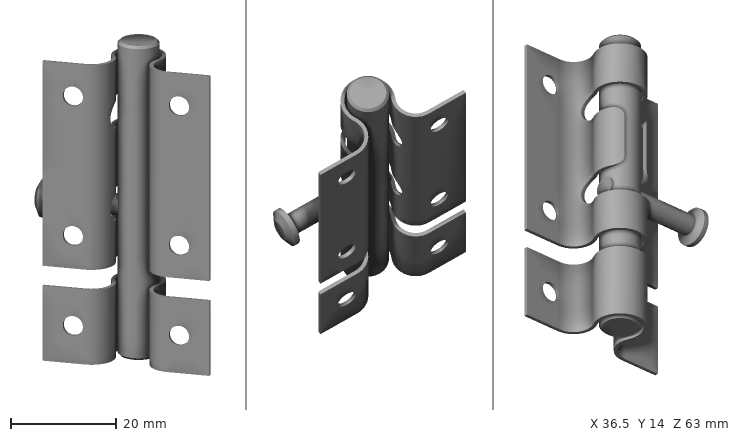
import cadquery as cq
import math

overall_depth = 14.0

sheet = 0.75
tube_inner_radius = 4.5
tube_outer_radius = tube_inner_radius + sheet
tube_y = overall_depth - tube_outer_radius
bend_inner_radius = 3.9
bend_outer_radius = bend_inner_radius + sheet
flange_width = 33.0
bend_x = math.sqrt((tube_outer_radius + bend_inner_radius) ** 2 - (tube_y - bend_outer_radius) ** 2)
bend_angle = math.atan2(tube_y - bend_outer_radius, bend_x)

lower_guide_height = 15.0
guide_gap = 4.05
upper_guide_height = 41.0
upper_guide_z = lower_guide_height + guide_gap
upper_guide_middle = upper_guide_z + upper_guide_height / 2

screw_hole_diameter = 4.0
screw_hole_spacing_x = 21.0
screw_hole_spacing_z = 28.0

slot_width = 5.5
slot_spacing = 18.45
slot_end_depth = 3.15
tongue_corner_radius = 2.0

bolt_diameter = 8.0
bolt_length = 63.0
bolt_chamfer = 0.5

shaft_diameter = 4.2
head_diameter = 7.6
handle_left_x = -20.0
head_front_taper = 0.95
head_rim = 1.1
head_back_taper = 0.75
handle_right_x = bolt_diameter / 2
handle_z = upper_guide_middle - slot_spacing / 2 - slot_width / 2 + shaft_diameter / 2


def tube_point(radius, angle):
    """Point on a circle about the tube centre."""
    return (radius * math.cos(angle), tube_y + radius * math.sin(angle))


def bend_point(side, radius, angle):
    """Point on a circle about a bend centre; the angle is mirrored on the left (side = -1)."""
    return (side * (bend_x + radius * math.cos(angle)), bend_outer_radius + radius * math.sin(angle))


def make_guide(bottom_z, height, hole_heights):
    """Omega-shaped sheet with a screw hole in each flange at every given height."""
    joint = math.pi - bend_angle
    bend_middle = (joint + 1.5 * math.pi) / 2
    half_width = flange_width / 2
    profile = (
        cq.Workplane("XY")
        .workplane(offset=bottom_z)
        .moveTo(-half_width, 0)
        .lineTo(-bend_x, 0)
        .threePointArc(
            bend_point(-1, bend_outer_radius, bend_middle),
            bend_point(-1, bend_outer_radius, joint),
        )
        .threePointArc(
            (0, tube_y + tube_inner_radius),
            tube_point(tube_inner_radius, -bend_angle),
        )
        .threePointArc(
            bend_point(1, bend_outer_radius, bend_middle),
            (bend_x, 0),
        )
        .lineTo(half_width, 0)
        .lineTo(half_width, sheet)
        .lineTo(bend_x, sheet)
        .threePointArc(
            bend_point(1, bend_inner_radius, bend_middle),
            bend_point(1, bend_inner_radius, joint),
        )
        .threePointArc(
            (0, tube_y + tube_outer_radius),
            tube_point(tube_outer_radius, math.pi + bend_angle),
        )
        .threePointArc(
            bend_point(-1, bend_inner_radius, bend_middle),
            (-bend_x, sheet),
        )
        .lineTo(-half_width, sheet)
        .close()
    )
    guide = profile.extrude(height)
    hole_x = screw_hole_spacing_x / 2
    hole_places = [(x, z) for x in (-hole_x, hole_x) for z in hole_heights]
    holes = (
        cq.Workplane("XZ")
        .pushPoints(hole_places)
        .circle(screw_hole_diameter / 2)
        .extrude(-sheet)
    )
    return guide.cut(holes)


def make_cross_slot(z):
    """Slot across the tube at height z, open at the back and round at the flange end."""
    half = slot_width / 2
    end_y = tube_y - slot_end_depth
    return (
        cq.Workplane("YZ")
        .workplane(offset=-bend_x)
        .moveTo(overall_depth, z - half)
        .lineTo(end_y, z - half)
        .threePointArc((end_y - half, z), (end_y, z + half))
        .lineTo(overall_depth, z + half)
        .close()
        .extrude(2 * bend_x)
    )


def make_back_slot():
    """Back opening between the cross slots, leaving a round-cornered tongue on each side."""
    tongue_height = slot_spacing - slot_width
    tongue_width = bend_x
    opening = (
        cq.Workplane("XZ", origin=(0, tube_y, upper_guide_middle))
        .rect(2 * tongue_width, tongue_height)
        .extrude(-tube_outer_radius)
    )
    tongues = (
        cq.Workplane("XZ", origin=(0, tube_y, upper_guide_middle))
        .pushPoints([(side * (slot_width / 2 + tongue_width / 2), 0) for side in (-1, 1)])
        .rect(tongue_width, tongue_height)
        .extrude(-tube_outer_radius)
        .edges("|Y")
        .fillet(tongue_corner_radius)
    )
    return opening.cut(tongues)


def make_upper_guide():
    hole_offset = screw_hole_spacing_z / 2
    guide = make_guide(
        upper_guide_z,
        upper_guide_height,
        [upper_guide_middle - hole_offset, upper_guide_middle + hole_offset],
    )
    for offset in (-slot_spacing / 2, slot_spacing / 2):
        guide = guide.cut(make_cross_slot(upper_guide_middle + offset))
    return guide.cut(make_back_slot())


def make_bolt():
    """Round bar chamfered at both ends, with a cross hole for the handle."""
    bar = (
        cq.Workplane("XY", origin=(0, tube_y, 0))
        .circle(bolt_diameter / 2)
        .extrude(bolt_length)
        .faces("<Z or >Z")
        .chamfer(bolt_chamfer)
    )
    cross_hole = (
        cq.Workplane("YZ", origin=(-bolt_diameter / 2, tube_y, handle_z))
        .circle(shaft_diameter / 2)
        .extrude(bolt_diameter)
    )
    return bar.cut(cross_hole)


def make_handle():
    """Turned pin along X: a round shaft with a head tapered on both faces."""
    shaft_radius = shaft_diameter / 2
    head_radius = head_diameter / 2
    rim_start = handle_left_x + head_front_taper
    rim_end = rim_start + head_rim
    return (
        cq.Workplane("XY", origin=(0, tube_y, handle_z))
        .moveTo(handle_left_x, 0)
        .lineTo(handle_left_x, shaft_radius)
        .lineTo(rim_start, head_radius)
        .lineTo(rim_end, head_radius)
        .lineTo(rim_end + head_back_taper, shaft_radius)
        .lineTo(handle_right_x, shaft_radius)
        .lineTo(handle_right_x, 0)
        .close()
        .revolve(360, (0, 0, 0), (1, 0, 0))
    )


upper_guide = make_upper_guide()
lower_guide = make_guide(0, lower_guide_height, [lower_guide_height / 2])
bolt = make_bolt()
handle = make_handle()

result = cq.Compound.makeCompound([upper_guide.val(), lower_guide.val(), bolt.val(), handle.val()])